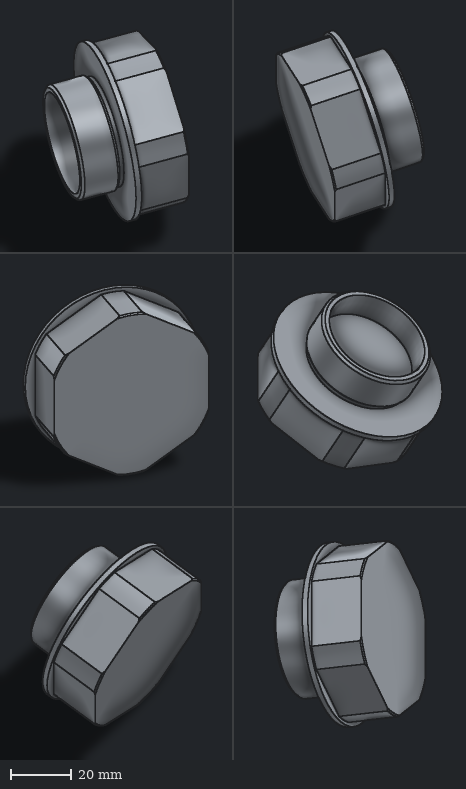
import cadquery as cq
import math

total_length = 35.0
flange_thickness = 2.0
head_length = 18.0
neck_length = 1.5
spigot_length = total_length - head_length - flange_thickness
bore_depth = 10.05

flange_diameter = 62.0
spigot_diameter = 40.0
neck_diameter = 38.1
bore_diameter = 35.0

across_flats = 55.0
corner_diameter = 59.4
corner_chamfer = 0.5
end_chamfer = (spigot_diameter - neck_diameter) / 2


def make_head():
    """Hexagon with flats facing +X and -X and its corners turned round and chamfered at the +Y end."""
    head_end = flange_thickness + head_length
    points_diameter = across_flats / math.cos(math.radians(30))
    hexagon = (
        cq.Workplane("XZ", origin=(0, head_end, 0))
        .transformed(rotate=(0, 0, 90))
        .polygon(6, points_diameter)
        .extrude(head_length)
    )
    turned_blank = (
        cq.Workplane("XZ", origin=(0, head_end, 0))
        .circle(corner_diameter / 2)
        .extrude(head_length)
        .faces(">Y")
        .chamfer(corner_chamfer)
    )
    return hexagon.intersect(turned_blank)


def make_turned_body():
    """Flange, neck and chamfered spigot, revolved about the Y axis."""
    flange_radius = flange_diameter / 2
    spigot_radius = spigot_diameter / 2
    neck_radius = neck_diameter / 2
    profile = [
        (0, flange_thickness),
        (flange_radius, flange_thickness),
        (flange_radius, 0),
        (neck_radius, 0),
        (neck_radius, -neck_length),
        (spigot_radius, -neck_length - end_chamfer),
        (spigot_radius, end_chamfer - spigot_length),
        (spigot_radius - end_chamfer, -spigot_length),
        (0, -spigot_length),
    ]
    return cq.Workplane("XY").polyline(profile).close().revolve(360, (0, 0, 0), (0, 1, 0))


def make_bore():
    """Blind bore with a flat floor inside the spigot."""
    spigot_end = cq.Workplane("XZ", origin=(0, -spigot_length, 0))
    return spigot_end.circle(bore_diameter / 2).extrude(-bore_depth)


result = make_turned_body().union(make_head()).cut(make_bore())